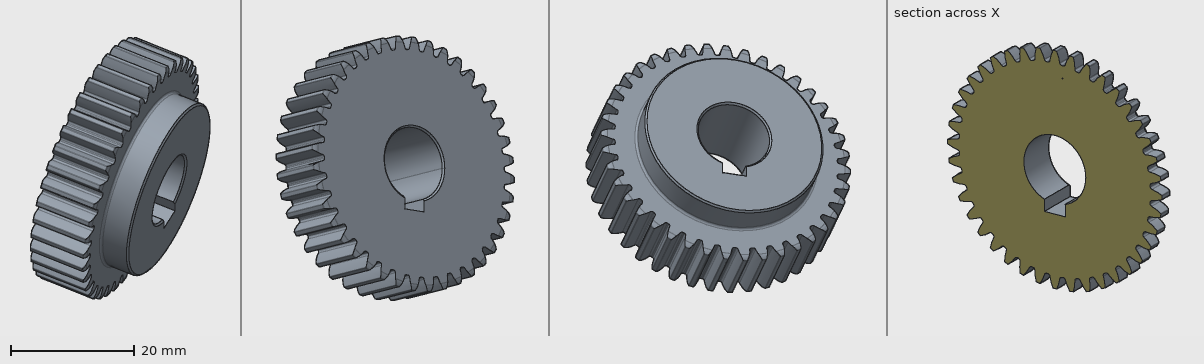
import cadquery as cq
import math

MODULE = 1.0
TOOTH_COUNT = 40
PRESSURE_ANGLE = math.radians(20)
ADDENDUM = MODULE
DEDENDUM = 1.25 * MODULE
FACE_WIDTH = 10.0
ROOT_FILLET = 0.38 * MODULE
TIP_FILLET = 0.1 * MODULE
END_ROUND_HEIGHT = MODULE
END_ROUND_RADIUS = 2 * MODULE
FLANK_POINTS = 5

HUB_DIAMETER = 30.0
TOTAL_LENGTH = 15.0
HUB_CHAMFER = 0.3
HUB_FILLET = 0.4

BORE_DIAMETER = 12.0
BORE_CHAMFER = 0.3
KEYWAY_WIDTH = 4.0
KEYWAY_DEPTH = 1.8

PITCH_RADIUS = MODULE * TOOTH_COUNT / 2
TIP_RADIUS = PITCH_RADIUS + ADDENDUM
ROOT_RADIUS = PITCH_RADIUS - DEDENDUM
BASE_RADIUS = PITCH_RADIUS * math.cos(PRESSURE_ANGLE)
TOOTH_PITCH = 2 * math.pi / TOOTH_COUNT

HUB_RADIUS = HUB_DIAMETER / 2
BORE_RADIUS = BORE_DIAMETER / 2
KEYWAY_FLOOR = BORE_RADIUS + KEYWAY_DEPTH


def polar(radius, angle):
    """Point in the YZ plane, with the angle measured from +Z towards +Y."""
    return (radius * math.sin(angle), radius * math.cos(angle))


def involute(angle):
    """Involute function of a pressure angle."""
    return math.tan(angle) - angle


def half_tooth_angle(radius):
    """Angle from a tooth's centreline to its flank, at or above the base circle."""
    flank_angle = math.acos(BASE_RADIUS / radius)
    return TOOTH_PITCH / 4 + involute(PRESSURE_ANGLE) - involute(flank_angle)


def fillet_center_angle(center_radius, offset):
    """Angle from a tooth's centreline to a fillet centre lying offset outside its flank.

    An involute offset sideways is the same involute turned by offset / base radius.
    """
    return half_tooth_angle(center_radius) + offset / BASE_RADIUS


def flank_contact_radius(center_radius, offset):
    """Radius where a fillet centred offset outside the flank touches the flank."""
    center_tangent = math.sqrt(center_radius**2 - BASE_RADIUS**2)
    return math.hypot(BASE_RADIUS, center_tangent - offset)


def toothed_disc():
    """Gear body with involute flanks, filleted roots and filleted tips."""
    root_center_radius = ROOT_RADIUS + ROOT_FILLET
    root_end_angle = fillet_center_angle(root_center_radius, ROOT_FILLET)
    flank_start = flank_contact_radius(root_center_radius, ROOT_FILLET)

    tip_center_radius = TIP_RADIUS - TIP_FILLET
    tip_end_angle = fillet_center_angle(tip_center_radius, -TIP_FILLET)
    flank_end = flank_contact_radius(tip_center_radius, -TIP_FILLET)

    flank_step = (flank_end - flank_start) / (FLANK_POINTS - 1)
    flank_radii = [flank_start + flank_step * i for i in range(FLANK_POINTS)]

    outline = cq.Workplane("YZ").moveTo(*polar(ROOT_RADIUS, -root_end_angle))
    for index in range(TOOTH_COUNT):
        center = index * TOOTH_PITCH
        rising = [polar(r, center - half_tooth_angle(r)) for r in flank_radii]
        falling = [polar(r, center + half_tooth_angle(r)) for r in reversed(flank_radii)]
        tip_start = polar(TIP_RADIUS, center - tip_end_angle)
        tip_end = polar(TIP_RADIUS, center + tip_end_angle)
        root_start = polar(ROOT_RADIUS, center + root_end_angle)
        root_end = polar(ROOT_RADIUS, center + TOOTH_PITCH - root_end_angle)

        outline = outline.radiusArc(rising[0], -ROOT_FILLET)
        outline = outline.spline(rising[1:], includeCurrent=True)
        outline = outline.radiusArc(tip_start, TIP_FILLET)
        outline = outline.radiusArc(tip_end, TIP_RADIUS)
        outline = outline.radiusArc(falling[0], TIP_FILLET)
        outline = outline.spline(falling[1:], includeCurrent=True)
        outline = outline.radiusArc(root_start, -ROOT_FILLET)
        outline = outline.radiusArc(root_end, ROOT_RADIUS)
    return outline.close().extrude(FACE_WIDTH)


def revolve_about_x(profile):
    """Full turn of a profile whose ends lie on the gear axis."""
    return profile.close().revolve(360, (0, 0, 0), (1, 0, 0))


def rounded_blank():
    """Disc whose rims round the tooth ends: a large arc off each face, then a small tip fillet.

    The large arc is tangent to the face. The tip fillet touches both that arc and the tip cylinder.
    """
    rim_radius = TIP_RADIUS - END_ROUND_HEIGHT
    tip_center_height = END_ROUND_HEIGHT - TIP_FILLET
    fillet_turn = math.asin(tip_center_height / (END_ROUND_RADIUS - TIP_FILLET))
    arc_end_x = END_ROUND_RADIUS * (1 - math.cos(fillet_turn))
    arc_end_y = -rim_radius - END_ROUND_RADIUS * math.sin(fillet_turn)
    land_start_x = arc_end_x + TIP_FILLET * math.cos(fillet_turn)
    profile = (
        cq.Workplane("XY")
        .lineTo(0, -rim_radius)
        .radiusArc((arc_end_x, arc_end_y), -END_ROUND_RADIUS)
        .radiusArc((land_start_x, -TIP_RADIUS), -TIP_FILLET)
        .lineTo(FACE_WIDTH - land_start_x, -TIP_RADIUS)
        .radiusArc((FACE_WIDTH - arc_end_x, arc_end_y), -TIP_FILLET)
        .radiusArc((FACE_WIDTH, -rim_radius), -END_ROUND_RADIUS)
        .lineTo(FACE_WIDTH, 0)
    )
    return revolve_about_x(profile)


def hub():
    """Hub with a fillet against the gear face and a chamfered free end."""
    profile = (
        cq.Workplane("XY")
        .moveTo(FACE_WIDTH, 0)
        .lineTo(FACE_WIDTH, -HUB_RADIUS - HUB_FILLET)
        .radiusArc((FACE_WIDTH + HUB_FILLET, -HUB_RADIUS), HUB_FILLET)
        .lineTo(TOTAL_LENGTH - HUB_CHAMFER, -HUB_RADIUS)
        .lineTo(TOTAL_LENGTH, -HUB_RADIUS + HUB_CHAMFER)
        .lineTo(TOTAL_LENGTH, 0)
    )
    return revolve_about_x(profile)


def bore():
    """Through bore, chamfered at both ends."""
    mouth_radius = BORE_RADIUS + BORE_CHAMFER
    profile = (
        cq.Workplane("XY")
        .lineTo(0, -mouth_radius)
        .lineTo(BORE_CHAMFER, -BORE_RADIUS)
        .lineTo(TOTAL_LENGTH - BORE_CHAMFER, -BORE_RADIUS)
        .lineTo(TOTAL_LENGTH, -mouth_radius)
        .lineTo(TOTAL_LENGTH, 0)
    )
    return revolve_about_x(profile)


def keyway():
    """Rectangular slot along the whole bore, on its -Z side."""
    slot = cq.Workplane("XY").box(
        TOTAL_LENGTH, KEYWAY_WIDTH, KEYWAY_FLOOR, centered=(False, True, False)
    )
    return slot.translate((0, 0, -KEYWAY_FLOOR))


blank = rounded_blank().rotate((0, 0, 0), (1, 0, 0), math.degrees(TOOTH_PITCH / 2))
gear = toothed_disc().intersect(blank, clean=False).union(hub(), clean=False)
result = gear.cut(bore(), clean=False).cut(keyway(), clean=False).solids()